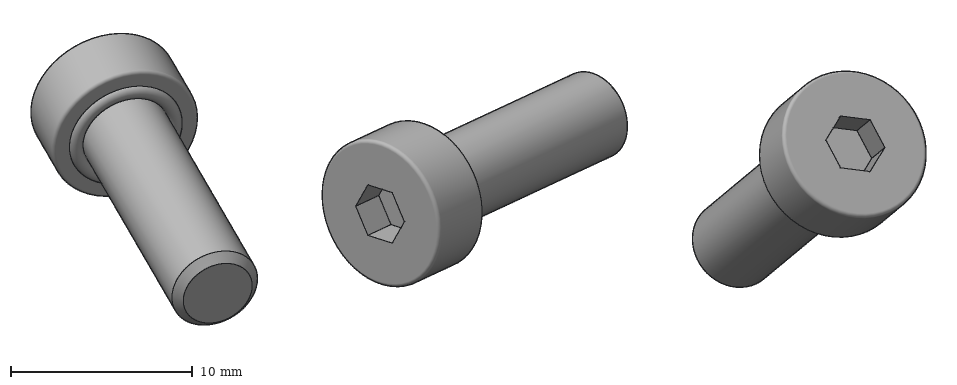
import cadquery as cq
import math

total_length = 18.8
head_diameter = 8.5
head_height = 3.8
head_edge_radius = 0.2
shank_diameter = 5.0
tip_chamfer = 0.49

socket_across_flats = 3.0
socket_depth = 2.0

ring_section_radius = 0.4
ring_protrusion = 0.34
ring_center_radius = shank_diameter / 2 + ring_section_radius
ring_center_x = head_height + ring_protrusion - ring_section_radius

recess_diameter = 2 * (ring_center_radius + ring_section_radius)
recess_floor_x = ring_center_x - ring_section_radius


def cylinder_along_x(diameter, start_x, end_x):
    return (
        cq.Workplane("YZ", origin=(start_x, 0, 0))
        .circle(diameter / 2)
        .extrude(end_x - start_x)
    )


def make_head():
    head = cylinder_along_x(head_diameter, 0, head_height).edges().fillet(head_edge_radius)
    ring_recess = cylinder_along_x(recess_diameter, recess_floor_x, head_height)
    return head.cut(ring_recess)


def make_shank():
    shank = cylinder_along_x(shank_diameter, recess_floor_x, total_length)
    return shank.faces(">X").chamfer(tip_chamfer)


def make_socket():
    across_corners = socket_across_flats / math.cos(math.pi / 6)
    return cq.Workplane("YZ").polygon(6, across_corners).extrude(socket_depth)


def make_screw():
    return make_head().union(make_shank()).cut(make_socket())


def make_sealing_ring():
    return cq.Workplane(
        cq.Solid.makeTorus(
            ring_center_radius,
            ring_section_radius,
            cq.Vector(ring_center_x, 0, 0),
            cq.Vector(1, 0, 0),
        )
    )


screw = make_screw()
sealing_ring = make_sealing_ring()

result = cq.Compound.makeCompound([screw.val(), sealing_ring.val()])